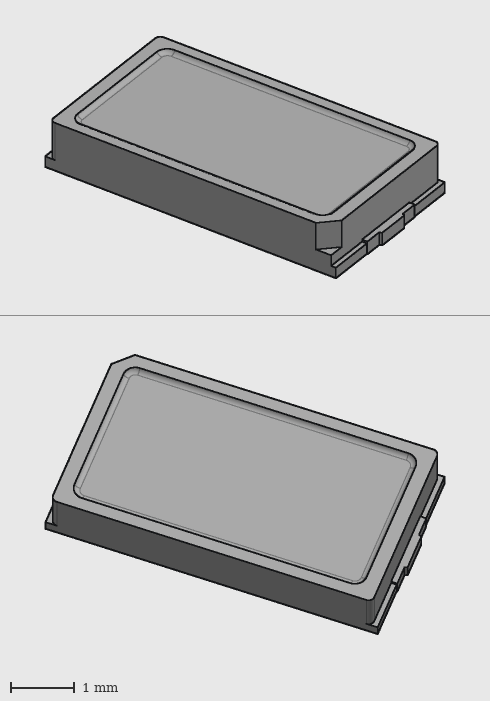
import cadquery as cq
import math

length = 5.7
width = 3.0
height = 0.9

base_inset = 0.055
base_height = 0.2

terminal_height = 0.24
pad_inset = 0.045
pad_width = 1.3
tongue_width = 0.605
tongue_root_width = 0.655

housing_inset = 0.15
housing_length = length - 2 * housing_inset
corner_radius = 0.095

notch_leg = 0.29
notch_depth = 0.5

rim_end = 0.245
rim_side = 0.205
pocket_length = housing_length - 2 * rim_end
pocket_width = width - 2 * rim_side
pocket_depth = 0.06
pocket_wall_radius = 0.1
pocket_wall_run = math.sqrt(pocket_wall_radius**2 - (pocket_wall_radius - pocket_depth) ** 2)
pocket_corner_radius = 0.2


def block(x_size, y_size, z_size):
    return cq.Workplane("XY").box(x_size, y_size, z_size, centered=(True, True, False))


def make_base():
    return block(length - 2 * base_inset, width, base_height)


def make_terminals():
    pads = block(length - 2 * pad_inset, pad_width, terminal_height)
    tip_x = length / 2
    root_x = tip_x - pad_inset
    tip_y = tongue_width / 2
    root_y = tongue_root_width / 2
    tongues = (
        cq.Workplane("XY")
        .polyline([
            (tip_x, -tip_y), (tip_x, tip_y), (root_x, root_y),
            (-root_x, root_y), (-tip_x, tip_y), (-tip_x, -tip_y),
            (-root_x, -root_y), (root_x, -root_y),
        ])
        .close()
        .extrude(terminal_height)
    )
    return pads.union(tongues)


def make_housing():
    return (
        block(housing_length, width, height)
        .edges("|Z and (<X or >Y)")
        .fillet(corner_radius)
    )


def make_pocket():
    overhang = pocket_wall_radius - pocket_wall_run
    bowl_height = 2 * pocket_wall_radius
    return (
        block(pocket_length + 2 * overhang, pocket_width + 2 * overhang, bowl_height)
        .edges("|Z")
        .fillet(pocket_corner_radius + overhang)
        .faces("<Z")
        .edges()
        .fillet(pocket_wall_radius)
        .intersect(block(length, width, pocket_depth))
        .translate((0, 0, height - pocket_depth))
    )


def make_notch():
    corner_x = housing_length / 2
    corner_y = -width / 2
    return (
        cq.Workplane("XY", origin=(0, 0, height - notch_depth))
        .moveTo(corner_x, corner_y)
        .lineTo(corner_x, corner_y + notch_leg)
        .lineTo(corner_x - notch_leg, corner_y)
        .close()
        .extrude(notch_depth)
    )


body = make_housing().union(make_base()).union(make_terminals())
result = body.cut(make_pocket()).cut(make_notch())